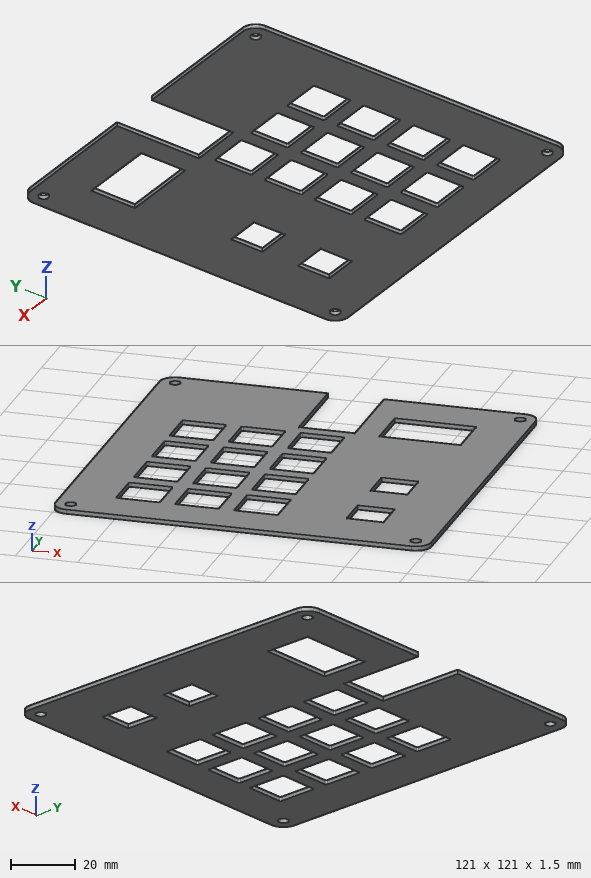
import cadquery as cq

plate_side = 121.0
plate_thickness = 1.5
corner_radius = 5.0

screw_hole_diameter = 3.4
screw_hole_spacing = plate_side - 2 * corner_radius

key_columns = 3
key_rows = 4
key_side = 14.0
key_corner_radius = 0.5
key_pitch = 19.0
keypad_center_x = -17.8
keypad_center_y = -10.6

notch_width = 18.0
notch_depth = 31.1
notch_center_x = keypad_center_x + key_pitch * (key_columns - 1) / 2

window_width = 26.1
window_height = 16.6
window_center = (31.3, 37.1)

button_side = 11.9
button_pitch = 25.4
button_center_x = 35.3
button_center_y = -24.2


def full_thickness_block(width, height):
    """Block as thick as the plate, standing on Z = 0 and centred on the Z axis."""
    return cq.Workplane("XY").box(width, height, plate_thickness, centered=(True, True, False))


def make_plate():
    plate = full_thickness_block(plate_side, plate_side).edges("|Z").fillet(corner_radius)
    return (
        plate.faces(">Z").workplane(origin=(0, 0, plate_thickness))
        .rect(screw_hole_spacing, screw_hole_spacing, forConstruction=True)
        .vertices()
        .hole(screw_hole_diameter)
    )


def cut_keypad(plate):
    key = full_thickness_block(key_side, key_side).edges("|Z").fillet(key_corner_radius)
    for column in range(key_columns):
        for row in range(key_rows):
            x = keypad_center_x + key_pitch * (column - (key_columns - 1) / 2)
            y = keypad_center_y + key_pitch * (row - (key_rows - 1) / 2)
            plate = plate.cut(key.translate((x, y, 0)))
    return plate


def cut_notch(plate):
    notch = full_thickness_block(notch_width, notch_depth)
    return plate.cut(notch.translate((notch_center_x, (plate_side - notch_depth) / 2, 0)))


def cut_window(plate):
    window = full_thickness_block(window_width, window_height)
    return plate.cut(window.translate((*window_center, 0)))


def cut_buttons(plate):
    button = full_thickness_block(button_side, button_side)
    for side in (-1, 1):
        y = button_center_y + side * button_pitch / 2
        plate = plate.cut(button.translate((button_center_x, y, 0)))
    return plate


result = cut_buttons(cut_window(cut_notch(cut_keypad(make_plate()))))